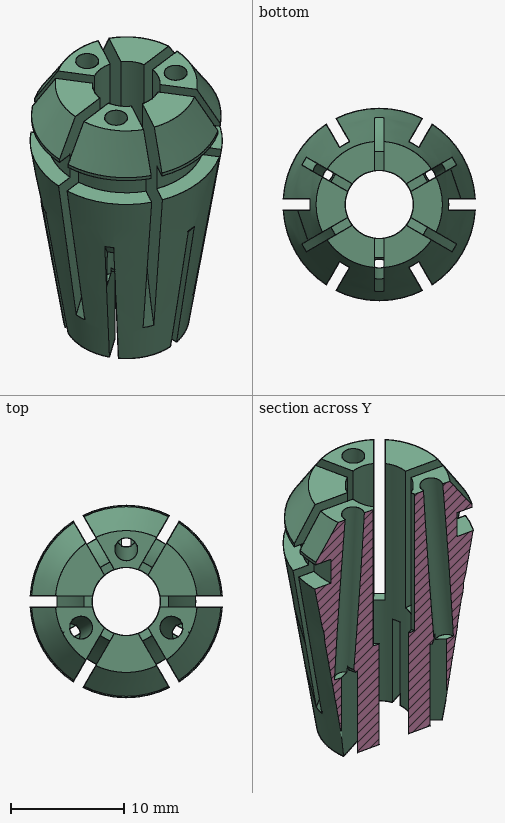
import cadquery as cq
import math

total_height = 27.5
body_diameter = 17.0
body_half_angle = 8.0
body_height = 20.8
neck_diameter = 13.9
bore_diameter = 6.0

head_bottom = 23.5
head_rim_height = 0.35
head_diameter = 16.75
head_half_angle = 30.0

slots_per_set = 6
slot_pitch = 360.0 / slots_per_set
slot_overrun = 4.0

upper_slot_width = 1.0
upper_slot_outer_z = 4.0
upper_slot_inner_z = 11.8
upper_slot_inner_radius = 3.75
upper_slot_saw_radius = 28.0

lower_slot_width = 0.8
lower_slot_outer_z = 14.9
lower_slot_inner_z = 9.4
lower_slot_inner_radius = 4.7
lower_slot_saw_radius = 20.0

land_slope = 8.0

hole_count = 3
hole_first_angle = 90.0
hole_diameter = 2.0
hole_depth = 18.15
hole_centre_radius = 4.6
hole_lean = 4.0


def body_radius_at(z):
    """Outer radius of the tapered body at height z."""
    drop = body_height - z
    return body_diameter / 2 - drop * math.tan(math.radians(body_half_angle))


def revolved_body():
    head_radius = head_diameter / 2
    rim_top = head_bottom + head_rim_height
    top_radius = head_radius - (total_height - rim_top) * math.tan(math.radians(head_half_angle))
    profile = [
        (bore_diameter / 2, 0),
        (body_radius_at(0), 0),
        (body_diameter / 2, body_height),
        (neck_diameter / 2, body_height),
        (neck_diameter / 2, head_bottom),
        (head_radius, head_bottom),
        (head_radius, rim_top),
        (top_radius, total_height),
        (bore_diameter / 2, total_height),
    ]
    return cq.Workplane("XZ").polyline(profile).close().revolve(360, (0, 0), (0, 1))


def saw_arc_middle(inner, outer, saw_radius):
    """Middle point of the saw arc, which bulges towards the axis."""
    chord_x = outer[0] - inner[0]
    chord_z = outer[1] - inner[1]
    chord = math.hypot(chord_x, chord_z)
    bulge = saw_radius - math.sqrt(saw_radius**2 - (chord / 2) ** 2)
    middle_x = (inner[0] + outer[0]) / 2 - bulge * abs(chord_z) / chord
    middle_z = (inner[1] + outer[1]) / 2 + bulge * chord_x / chord * math.copysign(1, chord_z)
    return middle_x, middle_z


def slot_cutter(width, inner_radius, inner_z, outer_z, saw_radius, open_z):
    """Radial slot along +X, running from its saw arc out through the open end."""
    inner = (inner_radius, inner_z)
    outer = (body_radius_at(outer_z), outer_z)
    land_drop = inner_radius * math.tan(math.radians(land_slope))
    axis_z = inner_z - math.copysign(land_drop, open_z - inner_z)
    beyond_x = body_diameter / 2 + slot_overrun
    return (
        cq.Workplane("XZ")
        .moveTo(0, open_z)
        .lineTo(0, axis_z)
        .lineTo(*inner)
        .threePointArc(saw_arc_middle(inner, outer, saw_radius), outer)
        .lineTo(beyond_x, outer_z)
        .lineTo(beyond_x, open_z)
        .close()
        .extrude(width / 2, both=True)
    )


def hole_cutter():
    """Leaning blind hole on the +X side, started above the top face."""
    lean = math.radians(hole_lean)
    direction = cq.Vector(math.sin(lean), 0, -math.cos(lean))
    entry = cq.Vector(hole_centre_radius, 0, total_height)
    start = entry - direction
    length = hole_depth + direction.Length
    return cq.Workplane(cq.Solid.makeCylinder(hole_diameter / 2, length, start, direction))


def cut_around_axis(part, cutter, count, first_angle):
    for index in range(count):
        angle = first_angle + index * 360.0 / count
        part = part.cut(cutter.rotate((0, 0, 0), (0, 0, 1), angle))
    return part


upper_slot = slot_cutter(
    upper_slot_width,
    upper_slot_inner_radius,
    upper_slot_inner_z,
    upper_slot_outer_z,
    upper_slot_saw_radius,
    total_height + slot_overrun,
)
lower_slot = slot_cutter(
    lower_slot_width,
    lower_slot_inner_radius,
    lower_slot_inner_z,
    lower_slot_outer_z,
    lower_slot_saw_radius,
    -slot_overrun,
)

result = revolved_body()
result = cut_around_axis(result, upper_slot, slots_per_set, 0)
result = cut_around_axis(result, lower_slot, slots_per_set, slot_pitch / 2)
result = cut_around_axis(result, hole_cutter(), hole_count, hole_first_angle)